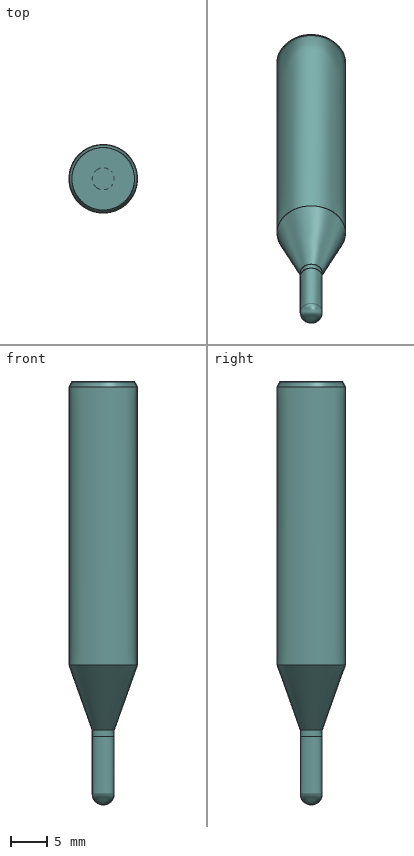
import cadquery as cq

total_length = 58.7
shank_diameter = 9.5
tip_diameter = 3.05
tip_length = 9.5
neck_length = 0.9
taper_length = 9.05
chamfer_height = 0.75
chamfer_width = 0.4

shank_radius = shank_diameter / 2
tip_radius = tip_diameter / 2
taper_bottom = tip_length + neck_length
taper_top = taper_bottom + taper_length


def make_shank():
    """Round shank with a chamfered top, tapering down to a short neck."""
    profile = (
        cq.Workplane("XZ")
        .moveTo(0, tip_length)
        .lineTo(tip_radius, tip_length)
        .lineTo(tip_radius, taper_bottom)
        .lineTo(shank_radius, taper_top)
        .lineTo(shank_radius, total_length - chamfer_height)
        .lineTo(shank_radius - chamfer_width, total_length)
        .lineTo(0, total_length)
        .close()
    )
    return profile.revolve(360, (0, 0), (0, 1))


def make_tip():
    """Cylindrical tip with a hemispherical lower end, butted against the neck."""
    ball_center = tip_radius
    profile = (
        cq.Workplane("XZ")
        .moveTo(0, 0)
        .radiusArc((tip_radius, ball_center), -tip_radius)
        .lineTo(tip_radius, tip_length)
        .lineTo(0, tip_length)
        .close()
    )
    return profile.revolve(360, (0, 0), (0, 1))


shank = make_shank()
tip = make_tip()

result = cq.Compound.makeCompound([shank.val(), tip.val()])